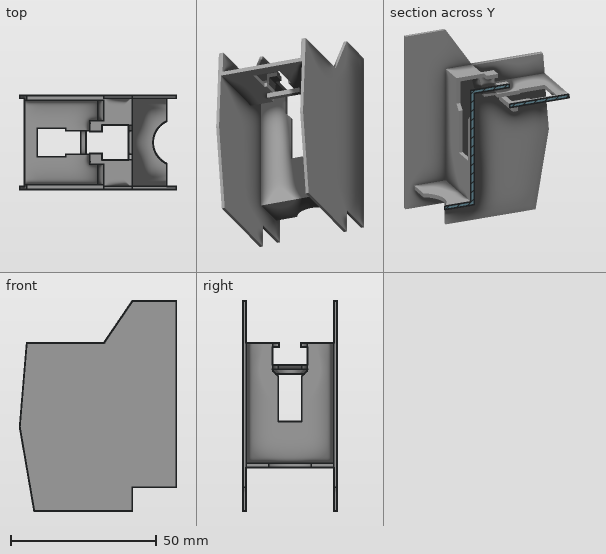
import cadquery as cq
import math

length = 54.04
width = 32.5
height = 72.5
plate_thickness = 1.1
inner_half_width = width / 2 - plate_thickness
nose_height = 29.0
shoulder_height = 57.95
shoulder_front = 2.42
shoulder_rear = 29.0
bottom_front = 5.0
back_front = 38.9
back_bottom = 8.15

wall_thickness = 1.45
deck_top = 50.4
deck_bottom = deck_top - wall_thickness
lining_thickness = 0.55

opening_front = 6.1
opening_step = 15.9
opening_wide = 9.75
opening_narrow = 8.0
bar_front = 21.0
bar_length = 1.9
bar_width = 12.0
bar_height = 1.7

ramp_foot = 27.0
ramp_slope = (shoulder_rear - ramp_foot) / (shoulder_height - deck_top)
channel_width = 12.0
jaw_gap = 13.2
jaw_outer_width = 15.0
jaw_front = 24.2
jaw_tip_gap = 7.5
jaw_tip_rear = 28.45

floor_bottom = 15.0
floor_rear = 50.75
slot_width = 8.0
slot_bottom = 30.9
slot_flare_top = 48.45
slot_flare = (channel_width - slot_width) / 2
notch_radius = 8.0


def box(x0, x1, y0, y1, z0, z1):
    """Axis-aligned block between two opposite corners."""
    return cq.Workplane("XY").box(x1 - x0, y1 - y0, z1 - z0, centered=False).translate((x0, y0, z0))


def centred_box(x0, x1, y_width, z0, z1):
    """Block that is symmetric about the XZ plane."""
    return box(x0, x1, -y_width / 2, y_width / 2, z0, z1)


def side_profile(points, y_width):
    """XZ outline extruded symmetrically about the XZ plane."""
    return cq.Workplane("XZ").polyline(points).close().extrude(y_width / 2, both=True)


def front_edge(z):
    """X of the upper sloping front edge of the side plates."""
    return shoulder_front * (z - nose_height) / (shoulder_height - nose_height)


def ramp_face(z):
    """X of the outer face of the housing's sloping front wall."""
    return ramp_foot + ramp_slope * (z - deck_top)


def make_side_plates():
    outline = [
        (0, nose_height),
        (shoulder_front, shoulder_height),
        (shoulder_rear, shoulder_height),
        (back_front, height),
        (length, height),
        (length, back_bottom),
        (back_front, back_bottom),
        (back_front, 0),
        (bottom_front, 0),
    ]
    gap = centred_box(0, length, 2 * inner_half_width, 0, height)
    return side_profile(outline, width).cut(gap)


def make_linings():
    """Thin layers on the inner faces of the side plates, above the deck."""
    outline = [
        (front_edge(deck_bottom), deck_bottom),
        (shoulder_front, shoulder_height),
        (shoulder_rear, shoulder_height),
        (ramp_face(deck_bottom), deck_bottom),
    ]
    gap = centred_box(0, length, 2 * (inner_half_width - lining_thickness), 0, height)
    return side_profile(outline, 2 * inner_half_width).cut(gap)


def make_deck_and_housing():
    """Deck, sloping wall, and housing roof as one bent sheet with openings."""
    ramp_thickness = wall_thickness * math.hypot(1, ramp_slope)
    roof_bottom = shoulder_height - wall_thickness
    outline = [
        (front_edge(deck_bottom), deck_bottom),
        (front_edge(deck_top), deck_top),
        (ramp_foot, deck_top),
        (shoulder_rear, shoulder_height),
        (back_front, shoulder_height),
        (back_front, roof_bottom),
        (ramp_face(roof_bottom) + ramp_thickness, roof_bottom),
        (ramp_face(deck_bottom) + ramp_thickness, deck_bottom),
    ]
    sheet = side_profile(outline, 2 * inner_half_width)

    posts_outline = [
        (jaw_front, deck_bottom),
        (jaw_front, shoulder_height),
        (shoulder_rear, shoulder_height),
        (ramp_face(deck_bottom), deck_bottom),
    ]
    sheet = sheet.union(side_profile(posts_outline, jaw_outer_width))

    sheet = sheet.cut(centred_box(opening_front, opening_step, opening_wide, deck_bottom, deck_top))
    sheet = sheet.cut(centred_box(opening_step, jaw_front, opening_narrow, deck_bottom, deck_top))
    sheet = sheet.cut(centred_box(jaw_front, back_front, jaw_gap, deck_bottom, roof_bottom))
    sheet = sheet.cut(centred_box(jaw_front, jaw_tip_rear, jaw_tip_gap, roof_bottom, shoulder_height))
    return sheet.cut(centred_box(jaw_tip_rear, back_front, channel_width, roof_bottom, shoulder_height))


def make_crossbar():
    """Bar under the deck that bridges the narrow part of the opening."""
    return centred_box(bar_front, bar_front + bar_length, bar_width, deck_bottom - bar_height, deck_bottom)


def make_rear_wall():
    wall_front = back_front - wall_thickness
    wall = centred_box(wall_front, back_front, 2 * inner_half_width, floor_bottom, shoulder_height)
    slot_outline = [
        (-slot_width / 2, slot_bottom),
        (slot_width / 2, slot_bottom),
        (slot_width / 2, slot_flare_top - slot_flare),
        (channel_width / 2, slot_flare_top),
        (channel_width / 2, shoulder_height),
        (-channel_width / 2, shoulder_height),
        (-channel_width / 2, slot_flare_top),
        (-slot_width / 2, slot_flare_top - slot_flare),
    ]
    slot = cq.Workplane("YZ").workplane(offset=wall_front).polyline(slot_outline).close()
    return wall.cut(slot.extrude(wall_thickness))


def make_floor():
    """Rear floor with a round notch centred on the rear ends of the side plates."""
    floor_top = floor_bottom + wall_thickness
    floor = centred_box(back_front - wall_thickness, floor_rear, 2 * inner_half_width, floor_bottom, floor_top)
    notch = cq.Workplane("XY").workplane(offset=floor_bottom).center(length, 0).circle(notch_radius)
    return floor.cut(notch.extrude(wall_thickness))


result = (
    make_side_plates()
    .union(make_deck_and_housing())
    .union(make_linings())
    .union(make_crossbar())
    .union(make_rear_wall())
    .union(make_floor())
)